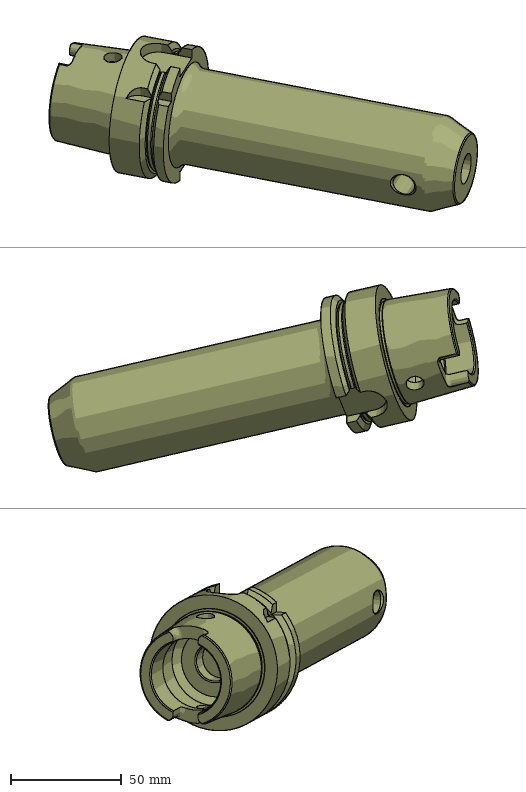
import cadquery as cq
import math


length = 192.0
flange_start = 32.0
flange_end = 58.0
shoulder_radius = 5.8
shoulder_run = 4.6
nose_cone_start = 179.1

flange_radius = 31.5
shank_front_radius = 22.7
shank_rear_radius = 24.2
shank_chamfer = 0.5
body_radius = 22.0
nose_radius = 16.5
nose_chamfer = 0.5
nose_fillet = 2.9

taper_end = 29.5
relief_start = 31.0
relief_depth = 0.4
relief_bottom = 32.5
flange_recess_radius = 25.2

groove_left = 46.5
groove_right = 53.4
groove_wall_left = 48.4
groove_wall_right = 51.6
groove_wall_radius = 28.8
groove_floor_radius = 27.8
groove_floor_start = 49.2
groove_floor_end = 50.7
groove_low_radius = 27.3

mouth_radius = 17.7
mouth_chamfer = 0.5
mouth_length = 13.8
clamp_radius = 19.0
clamp_angle = 60.0
clamp_end = 28.8
clamp_floor_radius = 15.7
coolant_radius = 8.6
coolant_chamfer = 0.5
coolant_depth = 7.7

notch_half_width = 6.1
notch_top_depth = 5.8
notch_bottom_depth = 10.0
notch_flare = 3.0
notch_straight_height = 17.7
notch_corner_radius = 2.0

cross_hole_x = 23.0
cross_hole_radius = 4.0

key_slot_half_width = 8.0
key_slot_start = 36.7
key_slot_floor = 26.0
index_notch_offset = 20.0
index_notch_start = 44.2
index_notch_radius = 7.0

tool_bore_radius = 7.0
tool_bore_depth = 50.0
screw_x = 169.5
screw_radius = 5.2
screw_chamfer = 1.0


def revolve_about_x(sketch):
    return sketch.close().revolve(360, (0, 0, 0), (1, 0, 0))


def outer_body():
    relief_radius = shank_rear_radius - relief_depth
    shoulder_rise = shoulder_radius - math.sqrt(shoulder_radius**2 - shoulder_run**2)
    shoulder_start = (flange_end, body_radius + shoulder_rise)
    shoulder_end = (flange_end + shoulder_run, body_radius)
    profile = (
        cq.Workplane("XY")
        .lineTo(0, shank_front_radius - shank_chamfer)
        .lineTo(shank_chamfer, shank_front_radius)
        .lineTo(taper_end, shank_rear_radius)
        .lineTo(relief_start, shank_rear_radius)
        .lineTo(relief_start + relief_depth, relief_radius)
        .lineTo(relief_bottom, relief_radius)
        .lineTo(relief_bottom, flange_recess_radius)
        .lineTo(flange_start, flange_recess_radius)
        .lineTo(flange_start, flange_radius)
        .lineTo(groove_left, flange_radius)
        .lineTo(groove_wall_left, groove_wall_radius)
        .lineTo(groove_wall_left, groove_low_radius)
        .lineTo(groove_floor_start, groove_floor_radius)
        .lineTo(groove_floor_end, groove_floor_radius)
        .lineTo(groove_wall_right, groove_low_radius)
        .lineTo(groove_wall_right, groove_wall_radius)
        .lineTo(groove_right, flange_radius)
        .lineTo(flange_end, flange_radius)
        .lineTo(*shoulder_start)
        .radiusArc(shoulder_end, -shoulder_radius)
        .lineTo(nose_cone_start, body_radius)
        .lineTo(length - nose_chamfer, nose_radius)
        .lineTo(length, nose_radius - nose_chamfer)
        .lineTo(length, 0)
    )
    edge_margin = 0.2
    nose_edge = cq.selectors.BoxSelector(
        (nose_cone_start - edge_margin, -body_radius - edge_margin, -body_radius - edge_margin),
        (nose_cone_start + edge_margin, body_radius + edge_margin, body_radius + edge_margin),
        boundingbox=True,
    )
    return revolve_about_x(profile).edges(nose_edge).fillet(nose_fillet)


def clamping_bore():
    bore_radius = mouth_radius - mouth_chamfer
    cone_end = mouth_length + (clamp_radius - bore_radius) / math.tan(math.radians(clamp_angle))
    floor_x = clamp_end + clamp_radius - clamp_floor_radius
    profile = (
        cq.Workplane("XY")
        .lineTo(0, mouth_radius)
        .lineTo(mouth_chamfer, bore_radius)
        .lineTo(mouth_length, bore_radius)
        .lineTo(cone_end, clamp_radius)
        .lineTo(clamp_end, clamp_radius)
        .lineTo(floor_x, clamp_floor_radius)
        .lineTo(floor_x, coolant_radius + coolant_chamfer)
        .lineTo(floor_x + coolant_chamfer, coolant_radius)
        .lineTo(floor_x + coolant_depth, coolant_radius)
        .lineTo(floor_x + coolant_depth, 0)
    )
    return revolve_about_x(profile)


def driving_notch(depth):
    """Notch on the +Z side, with walls that flare outwards and rounded inner corners."""
    flared_half_width = notch_half_width + notch_flare
    flare_top = notch_straight_height + notch_flare
    notch = (
        cq.Workplane("YZ")
        .moveTo(-notch_half_width, 0)
        .lineTo(-notch_half_width, notch_straight_height)
        .radiusArc((-flared_half_width, flare_top), -notch_flare)
        .lineTo(-flared_half_width, flange_radius)
        .lineTo(flared_half_width, flange_radius)
        .lineTo(flared_half_width, flare_top)
        .radiusArc((notch_half_width, notch_straight_height), -notch_flare)
        .lineTo(notch_half_width, 0)
        .close()
        .extrude(depth)
    )
    inner_corners = notch.faces(">X").edges("not(|Y)")
    return inner_corners.fillet(notch_corner_radius)


def key_slot():
    """Round-ended slot on the +Z side, open towards the body."""
    round_centre = key_slot_start + key_slot_half_width
    return (
        cq.Workplane("XY")
        .workplane(offset=key_slot_floor)
        .moveTo(flange_end, key_slot_half_width)
        .lineTo(round_centre, key_slot_half_width)
        .threePointArc((key_slot_start, 0), (round_centre, -key_slot_half_width))
        .lineTo(flange_end, -key_slot_half_width)
        .close()
        .extrude(flange_radius - key_slot_floor)
    )


def index_notch():
    """Corner notch between -Y and +Z that ends in the radius of the cutter."""
    return (
        cq.Workplane("XY")
        .workplane(offset=index_notch_offset)
        .moveTo(flange_end, -index_notch_offset)
        .lineTo(index_notch_start, -index_notch_offset)
        .radiusArc(
            (index_notch_start - index_notch_radius, -index_notch_offset - index_notch_radius),
            -index_notch_radius,
        )
        .lineTo(index_notch_start - index_notch_radius, -flange_radius)
        .lineTo(flange_end, -flange_radius)
        .close()
        .extrude(flange_radius - index_notch_offset)
    )


def cross_hole():
    return (
        cq.Workplane("XY")
        .center(cross_hole_x, 0)
        .circle(cross_hole_radius)
        .extrude(flange_start, both=True)
    )


def tool_bore():
    return cq.Workplane("YZ", origin=(length, 0, 0)).circle(tool_bore_radius).extrude(-tool_bore_depth)


def screw_hole():
    """Hole from the -Y side into the tool bore, countersunk at the body surface."""
    hole = cq.Workplane("XZ", origin=(screw_x, 0, 0)).circle(screw_radius).extrude(body_radius)
    countersink = cq.Solid.makeCone(
        screw_radius,
        screw_radius + screw_chamfer,
        screw_chamfer,
        pnt=cq.Vector(screw_x, screw_chamfer - body_radius, 0),
        dir=cq.Vector(0, -1, 0),
    )
    return hole.union(cq.Workplane(countersink))


def on_lower_side(cutter):
    return cutter.rotate((0, 0, 0), (1, 0, 0), 180)


result = (
    outer_body()
    .cut(clamping_bore())
    .cut(driving_notch(notch_top_depth))
    .cut(on_lower_side(driving_notch(notch_bottom_depth)))
    .cut(cross_hole())
    .cut(key_slot())
    .cut(on_lower_side(key_slot()))
    .cut(index_notch())
    .cut(tool_bore())
    .cut(screw_hole())
)